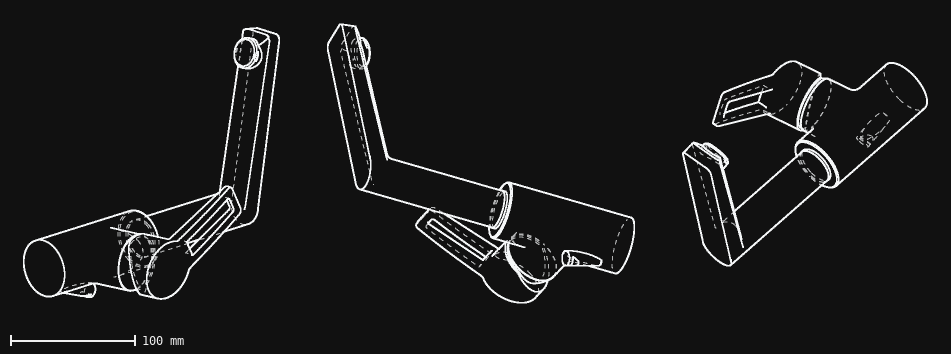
import cadquery as cq
import math


body_radius = 23.5
body_length = 108.0
body_chamfer = 1.0
collar_radius = 15.7
collar_length = 2.3
tube_radius = 15.5

arm_lean = 10
arm_half_width = 15.2
arm_base_y = 227.9
arm_top_z = 144.2
arm_base_depth = 15.7
arm_base_crown = 7.3
arm_top_depth = 11.5
arm_top_crown = 8.5
arm_corner_radius = 4.8
arm_bevel = 45
arm_root_fillet = 5.0

nozzle_tilt = 20
nozzle_radius = 12.5
nozzle_chamfer = 1.5
nozzle_length = 12.6
nozzle_face_y = 227.4
nozzle_face_z = 129.7
nozzle_flat_depth = 0.63
nozzle_flat_length = 3.3

pod_tilt = 10
pod_start_y = 55.0
pod_radius = 23.3
pod_length = 42.0
pod_fillet = 7.5
dome_radius = 23.0
dome_centre = 38.7
dome_root = 2.5

cap_radius = 24.3
cap_start = 44.8
cap_relief_end = 57.5
cap_end_x = 73.8
cap_end_slope = 0.085

lever_angle = 29.5
lever_length = 87.5
lever_end_width = 29.5
lever_root_width = 32.5
lever_root_thickness = 9.0
lever_end_thickness = 4.3
lever_flat_length = 30.3
lever_end_drop = 2.5
lever_corner_radius = 3.5
lever_edge_fillet = 0.8
lever_root_fillet = 2.5
slot_start = 26.5
slot_end_width = 14.5
slot_start_width = 15.7
slot_corner_radius = 1.8
lever_end_bar = 6.5

stub_tilt = 20
stub_radius = 6.0
stub_length = 30.3
stub_end = (3.3, 48.8, -29.0)
stub_lip = 3.3
stub_groove_depth = 3.3
stub_groove_length = 6.3

reach = 151.7

tolerance = 0.03


def sine(angle):
    return math.sin(math.radians(angle))


def cosine(angle):
    return math.cos(math.radians(angle))


def tangent(angle):
    return math.tan(math.radians(angle))


def cylinder_along_y(radius, start, end):
    plane = cq.Plane(origin=(0, start, 0), xDir=(1, 0, 0), normal=(0, 1, 0))
    return cq.Workplane(plane).circle(radius).extrude(end - start)


def make_body():
    body = cylinder_along_y(body_radius, 0, body_length)
    return body.faces(">Y").chamfer(body_chamfer)


def pod_plane(distance):
    """Plane square to the pod axis, at a distance along it from the body axis."""
    axis = (cosine(pod_tilt), sine(pod_tilt), 0)
    origin = (distance * axis[0], pod_start_y + distance * axis[1], 0)
    return cq.Plane(origin=origin, xDir=(-axis[1], axis[0], 0), normal=axis)


def make_pod():
    return cq.Workplane(pod_plane(0)).circle(pod_radius).extrude(pod_length)


def arm_section(z, depth, crown):
    """Level section of the arm: straight back and sides with an arched front."""
    back = arm_base_y + z * tangent(arm_lean)
    front = back - depth
    return (
        cq.Workplane("XY", origin=(0, 0, z))
        .moveTo(arm_half_width, front)
        .lineTo(arm_half_width, back)
        .lineTo(-arm_half_width, back)
        .lineTo(-arm_half_width, front)
        .threePointArc((0, front - crown), (arm_half_width, front))
        .close()
        .val()
    )


def cut_prism(points):
    """Prism across the whole part in X, from an outline of (y, z) points."""
    return cq.Workplane("YZ").polyline(points).close().extrude(reach, both=True)


def make_arm():
    base = arm_section(0, arm_base_depth, arm_base_crown)
    top = arm_section(arm_top_z, arm_top_depth, arm_top_crown)
    arm = cq.Workplane(cq.Solid.makeLoft([base, top], True))
    top_front_y = arm_base_y + arm_top_z * tangent(arm_lean) - arm_top_depth

    end_cut = cut_prism([
        (top_front_y - reach, arm_top_z + reach * tangent(arm_lean)),
        (top_front_y + reach, arm_top_z - reach * tangent(arm_lean)),
        (top_front_y + reach, arm_top_z + reach),
    ])
    arm = arm.cut(end_cut)
    arm = arm.faces(">Y").edges("<X or >X").fillet(arm_corner_radius)

    bevel_cut = cut_prism([
        (top_front_y, arm_top_z),
        (top_front_y - reach, arm_top_z - reach * tangent(arm_bevel)),
        (top_front_y - reach, arm_top_z + reach),
        (top_front_y, arm_top_z + reach),
    ])
    return arm.cut(bevel_cut)


def make_tube():
    tube = cylinder_along_y(tube_radius, 0, arm_base_y)
    back_cut = cut_prism([
        (arm_base_y, 0),
        (arm_base_y - reach * tangent(arm_lean), -reach),
        (arm_base_y + reach, -reach),
        (arm_base_y + reach, 0),
    ])
    collar = cylinder_along_y(collar_radius, 0, body_length + collar_length)
    return tube.cut(back_cut).union(collar)


def make_nozzle():
    plane = cq.Plane(
        origin=(0, nozzle_face_y, nozzle_face_z),
        xDir=(1, 0, 0),
        normal=(0, -cosine(nozzle_tilt), sine(nozzle_tilt)),
    )
    nozzle = cq.Workplane(plane).circle(nozzle_radius).extrude(-nozzle_length)
    nozzle = nozzle.faces("<Y").chamfer(nozzle_chamfer)
    flat_cuts = (
        cq.Workplane(plane)
        .pushPoints([(-nozzle_radius, 0), (nozzle_radius, 0)])
        .rect(2 * nozzle_flat_depth, 2 * nozzle_radius)
        .extrude(-nozzle_flat_length)
    )
    return nozzle.cut(flat_cuts)


def lever_plane():
    """Plane of the cap's end face: x along the lever, z outward, origin on the pod axis."""
    origin = (cap_end_x, pod_start_y + cap_end_x * tangent(pod_tilt), 0)
    along = (cap_end_slope * sine(lever_angle), cosine(lever_angle), sine(lever_angle))
    return cq.Plane(origin=origin, xDir=along, normal=(1, 0, -cap_end_slope))


def make_cap():
    cap = cq.Workplane(pod_plane(cap_start)).circle(cap_radius).extrude(reach)
    outside = cq.Workplane(lever_plane()).rect(2 * reach, 2 * reach).extrude(reach)
    relief_plane = pod_plane(cap_start).rotated((0, 0, lever_angle))
    slope = (cap_relief_end - cap_start) / cap_radius
    relief = (
        cq.Workplane(cq.Plane(relief_plane.origin, relief_plane.zDir, relief_plane.yDir))
        .polyline([(0, 0), (-reach, 0), (-reach, -reach), (slope * reach, -reach)])
        .close()
        .extrude(reach, both=True)
    )
    return cap.cut(outside).cut(relief)


def make_dome():
    """Slice of a ball, centred on the pod axis, that closes the gap between pod and cap."""
    slice_start = pod_length - dome_centre - dome_root
    start_radius = math.sqrt(dome_radius ** 2 - slice_start ** 2)
    mid_radius = dome_radius * math.sqrt(0.5)
    dome = (
        cq.Workplane("XY")
        .moveTo(slice_start, 0)
        .lineTo(slice_start, start_radius)
        .threePointArc((mid_radius, mid_radius), (dome_radius, 0))
        .close()
        .revolve(360, (0, 0, 0), (1, 0, 0))
    )
    return dome.rotate((0, 0, 0), (0, 0, 1), pod_tilt).translate(pod_plane(dome_centre).origin)


def tapered_bar(start, end, start_width, end_width, corner_radius):
    """Symmetrical tapered prism square to the lever, with its far corners rounded."""
    sharp = (
        cq.Workplane("XY")
        .polyline([
            (start, -start_width / 2),
            (end, -end_width / 2),
            (end, end_width / 2),
            (start, start_width / 2),
        ])
        .close()
        .extrude(reach, both=True)
    )
    return sharp.edges("|Z and >X").fillet(corner_radius)


def make_lever():
    blade = (
        cq.Workplane("XZ")
        .moveTo(0, 0)
        .lineTo(lever_flat_length, 0)
        .tangentArcPoint((lever_length, -lever_end_drop), relative=False)
        .lineTo(lever_length, -lever_end_drop - lever_end_thickness)
        .lineTo(0, -lever_root_thickness)
        .close()
        .extrude(lever_root_width, both=True)
    )
    outline = tapered_bar(0, lever_length, lever_root_width, lever_end_width, lever_corner_radius)
    slot = tapered_bar(
        slot_start,
        lever_length - lever_end_bar,
        slot_start_width,
        slot_end_width,
        slot_corner_radius,
    )
    lever = blade.intersect(outline).cut(slot)
    lever = lever.faces("<Z").edges().fillet(lever_edge_fillet)
    return cq.Workplane(lever.val().moved(lever_plane().location))


def is_lever_root(edge):
    """True for the curved edges where the lever meets the round wall of the cap."""
    middle = edge.positionAt(0.5)
    from_axis = pod_plane(0).toLocalCoords(middle)
    on_lever = lever_plane().toLocalCoords(middle)
    on_wall = abs(math.hypot(from_axis.x, from_axis.y) - cap_radius) < tolerance
    beside_lever = on_lever.x > 0 and on_lever.z > -2 * lever_root_thickness
    return on_wall and beside_lever and edge.geomType() != "LINE"


def make_control():
    control = make_cap().union(make_lever())
    root = control.edges().filter(is_lever_root)
    return root.fillet(lever_root_fillet).union(make_dome())


def make_spout():
    spout = make_tube().union(make_arm())
    corner = cq.selectors.BoxSelector(
        (-arm_half_width, arm_base_y - arm_base_depth - tube_radius, 0.5 * tube_radius),
        (arm_half_width, arm_base_y - arm_base_depth, tube_radius),
    )
    rounded = spout.edges(corner).edges("not %LINE").fillet(arm_root_fillet)
    return rounded.union(make_nozzle())


def make_stub():
    toward_body = (0, -cosine(stub_tilt), sine(stub_tilt))
    end_plane = cq.Plane(stub_end, (1, 0, 0), toward_body)
    stub = cq.Workplane(end_plane).circle(stub_radius).extrude(stub_length)
    groove = (
        cq.Workplane(cq.Plane(stub_end, toward_body, (-1, 0, 0)))
        .polyline([
            (stub_lip, -stub_radius + stub_groove_depth),
            (stub_lip + stub_groove_length, -stub_radius),
            (stub_lip, -stub_radius),
        ])
        .close()
        .extrude(stub_radius, both=True)
    )
    return stub.cut(groove)


def make_body_with_pod():
    joined = make_body().union(make_pod())
    seam = joined.edges("(not %LINE) and (not %CIRCLE)")
    return seam.fillet(pod_fillet)


result = (
    make_body_with_pod()
    .union(make_control())
    .union(make_spout())
    .union(make_stub())
)